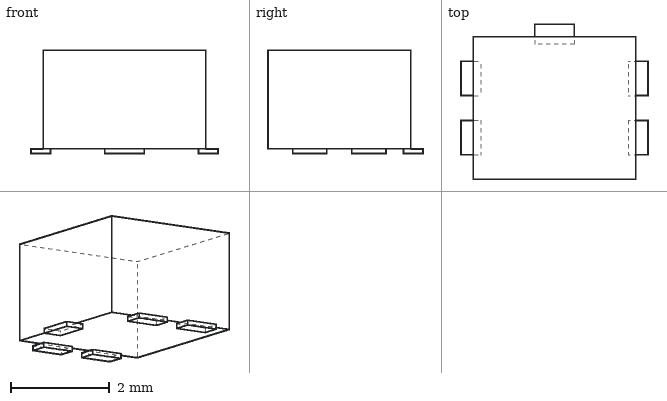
import cadquery as cq

total_length = 3.8
total_height = 2.1

lead_thickness = 0.1
lead_length = 0.4
lead_overhang = 0.25
side_lead_width = 0.7
side_lead_pitch = 1.2
rear_lead_width = 0.8

housing_length = total_length - 2 * lead_overhang
housing_width = 2.9
housing_height = total_height - lead_thickness

side_lead_x = total_length / 2 - lead_length / 2
side_lead_y = side_lead_pitch / 2
rear_lead_y = housing_width / 2 + lead_overhang - lead_length / 2


def block(size_x, size_y, size_z, center_x, center_y, bottom_z):
    """Box centred in X and Y, standing on bottom_z."""
    return (
        cq.Workplane("XY")
        .box(size_x, size_y, size_z, centered=(True, True, False))
        .translate((center_x, center_y, bottom_z))
    )


def make_housing():
    return block(housing_length, housing_width, housing_height, 0, 0, lead_thickness)


def make_side_lead(center_x, center_y):
    return block(lead_length, side_lead_width, lead_thickness, center_x, center_y, 0)


def make_rear_lead():
    return block(rear_lead_width, lead_length, lead_thickness, 0, rear_lead_y, 0)


housing = make_housing()
rear_lead = make_rear_lead()
side_leads = [
    make_side_lead(x, y)
    for x in (-side_lead_x, side_lead_x)
    for y in (-side_lead_y, side_lead_y)
]

result = cq.Compound.makeCompound(
    [housing.val(), rear_lead.val(), *[lead.val() for lead in side_leads]]
)